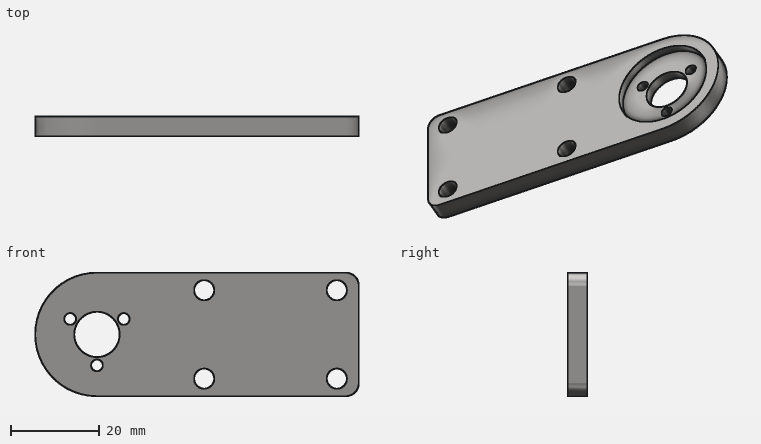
import cadquery as cq
import math

length = 73.25
height = 28.0
thickness = 4.5
end_radius = height / 2
corner_radius = 3.0

bore_diameter = 10.2

recess_diameter = 22.0
recess_floor = 2.5
recess_depth = thickness - recess_floor

screw_hole_count = 3
screw_hole_diameter = 2.6
screw_circle_radius = 7.0
first_screw_angle = -90.0

mount_hole_diameter = 4.5
mount_spacing_x = 30.0
mount_spacing_z = 20.0
mount_edge_distance = 5.0

square_end_x = length - end_radius
mount_center_x = square_end_x - mount_edge_distance - mount_spacing_x / 2


def back_face_sketch():
    """XZ sketch on the plate's +Y face; extrusions run toward -Y."""
    return cq.Workplane("XZ", origin=(0, thickness / 2, 0))


def make_plate():
    plate = (
        back_face_sketch()
        .moveTo(0, end_radius)
        .lineTo(square_end_x, end_radius)
        .lineTo(square_end_x, -end_radius)
        .lineTo(0, -end_radius)
        .threePointArc((-end_radius, 0), (0, end_radius))
        .close()
        .extrude(thickness)
    )
    return plate.edges("|Y and >X").fillet(corner_radius)


def hole_cutter(centers, diameter, depth=thickness):
    """Cylinders along Y sunk from the +Y face, by default right through the plate."""
    return (
        back_face_sketch()
        .pushPoints(centers)
        .circle(diameter / 2)
        .extrude(depth)
    )


def screw_hole_centers():
    centers = []
    for index in range(screw_hole_count):
        angle = math.radians(first_screw_angle + index * 360 / screw_hole_count)
        x = screw_circle_radius * math.cos(angle)
        z = screw_circle_radius * math.sin(angle)
        centers.append((x, z))
    return centers


def mount_hole_centers():
    return [
        (mount_center_x + side_x * mount_spacing_x / 2, side_z * mount_spacing_z / 2)
        for side_x in (-1, 1)
        for side_z in (-1, 1)
    ]


result = (
    make_plate()
    .cut(hole_cutter([(0, 0)], recess_diameter, recess_depth))
    .cut(hole_cutter([(0, 0)], bore_diameter))
    .cut(hole_cutter(screw_hole_centers(), screw_hole_diameter))
    .cut(hole_cutter(mount_hole_centers(), mount_hole_diameter))
)